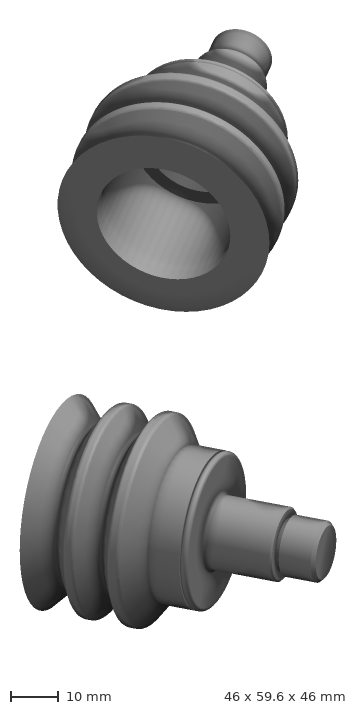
import cadquery as cq


total_length = 59.6
waist_lower_y = 5.8
ridge_lower_start = 9.9
ridge_lower_end = 11.8
waist_upper_y = 15.75
ridge_upper_start = 19.7
ridge_upper_end = 22.0
collar_start = 26.3
collar_end = 35.15
stud_end = 50.5
neck_end = 51.6

bellows_radius = 46.0 / 2
waist_lower_radius = 17.15
waist_upper_radius = 16.55
collar_radius = 34.1 / 2
stud_radius = 16.0 / 2
neck_radius = 11.45 / 2
tip_radius = 13.2 / 2

bead_radius = 0.85
ridge_round = 0.9
waist_round = 0.8
stud_foot_round = 0.85
stud_chamfer = 0.35
tip_chamfer = 0.8

bore_radius = 29.0 / 2
bore_depth = collar_start
recess_radius = 23.0 / 2
recess_depth = 32.2

bead_start = collar_end - 2 * bead_radius
bead_root_radius = collar_radius - bead_radius

ridge_corners = [ridge_lower_start, ridge_lower_end, ridge_upper_start, ridge_upper_end]
waist_corners = [waist_lower_y, waist_upper_y]


def revolve_profile(profile):
    """Turn a closed (radius, Y) profile fully about the Y axis."""
    return profile.close().revolve(360, (0, 0, 0), (0, 1, 0))


def round_circles(body, stations, radius):
    """Round the circular edges whose planes lie at the given Y stations."""
    tolerance = 0.005
    edges = [
        edge
        for edge in body.edges("%CIRCLE").vals()
        if any(abs(edge.Center().y - station) < tolerance for station in stations)
    ]
    return body.newObject(edges).fillet(radius)


def make_cup():
    """Solid bellows with its collar and the half-round bead on top."""
    profile = (
        cq.Workplane("XY")
        .lineTo(bellows_radius, 0)
        .lineTo(waist_lower_radius, waist_lower_y)
        .lineTo(bellows_radius, ridge_lower_start)
        .lineTo(bellows_radius, ridge_lower_end)
        .lineTo(waist_upper_radius, waist_upper_y)
        .lineTo(bellows_radius, ridge_upper_start)
        .lineTo(bellows_radius, ridge_upper_end)
        .lineTo(collar_radius, collar_start)
        .lineTo(collar_radius, bead_start)
        .lineTo(bead_root_radius, bead_start)
        .threePointArc((collar_radius, bead_start + bead_radius), (bead_root_radius, collar_end))
        .lineTo(0, collar_end)
    )
    cup = round_circles(revolve_profile(profile), ridge_corners, ridge_round)
    return round_circles(cup, waist_corners, waist_round)


def make_stud():
    """Stepped stud with chamfered shoulders and an undercut neck below the tip."""
    profile = (
        cq.Workplane("XY")
        .moveTo(0, collar_end)
        .lineTo(stud_radius, collar_end)
        .lineTo(stud_radius, stud_end - stud_chamfer)
        .lineTo(stud_radius - stud_chamfer, stud_end)
        .lineTo(neck_radius, stud_end)
        .lineTo(neck_radius, neck_end)
        .lineTo(tip_radius, neck_end)
        .lineTo(tip_radius, total_length - tip_chamfer)
        .lineTo(tip_radius - tip_chamfer, total_length)
        .lineTo(0, total_length)
    )
    return revolve_profile(profile)


def make_stud_foot():
    """Ring with a concave quarter-round where the stud meets the collar."""
    profile = (
        cq.Workplane("XY")
        .moveTo(neck_radius, collar_end)
        .lineTo(stud_radius + stud_foot_round, collar_end)
        .radiusArc((stud_radius, collar_end + stud_foot_round), stud_foot_round)
        .lineTo(neck_radius, collar_end + stud_foot_round)
    )
    return revolve_profile(profile)


def make_cavity():
    """Wide bore followed by a narrower recess."""
    profile = (
        cq.Workplane("XY")
        .lineTo(bore_radius, 0)
        .lineTo(bore_radius, bore_depth)
        .lineTo(recess_radius, bore_depth)
        .lineTo(recess_radius, recess_depth)
        .lineTo(0, recess_depth)
    )
    return revolve_profile(profile)


result = make_cup().union(make_stud()).union(make_stud_foot()).cut(make_cavity())